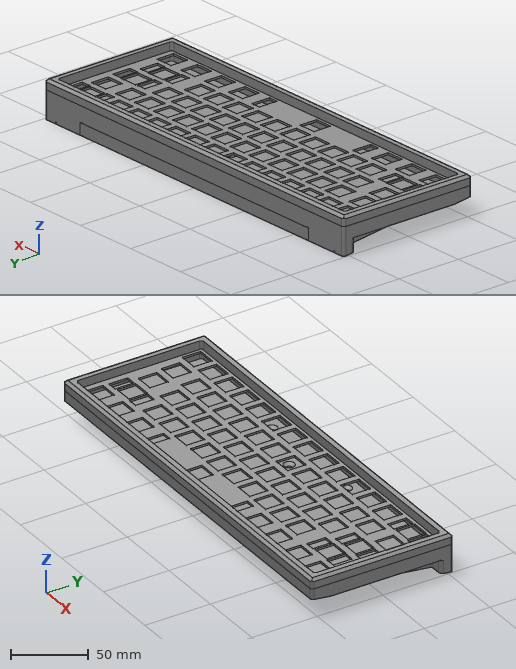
import cadquery as cq
import math

LENGTH = 298.7
DEPTH = 108.0
HEIGHT = 28.5
FRONT_EDGE_HEIGHT = 13.0
CORNER_RADIUS = 2.0
JOINT_HEIGHT = 21.0
TOP_CHAMFER = 2.0

RIM_WIDTH = 6.0
OPENING_LENGTH = LENGTH - 2 * RIM_WIDTH
OPENING_DEPTH = DEPTH - 2 * RIM_WIDTH
OPENING_RADIUS = 2.0
FLOOR_HEIGHT = 15.0

PLATE_GAP = 0.5
PLATE_BOTTOM = JOINT_HEIGHT
PLATE_THICKNESS = 1.5
LAYOUT_WIDTH = 286.0
LAYOUT_UNITS = 15
KEY_PITCH = LAYOUT_WIDTH / LAYOUT_UNITS
SWITCH_CUTOUT = 14.0
STABILIZER_WIDTH = 7.5
STABILIZER_DEPTH = 14.3
STABILIZER_SHIFT = 0.5
SHORT_STABILIZER_OFFSET = 12.2
SPACE_STABILIZER_OFFSET = 50.5
SPACE_STABILIZER_DEPTH = 15.0
SPACE_STABILIZER_SHIFT = -0.3

KEY_ROWS = [
    [1] * 13 + [2],
    [1.5] + [1] * 12 + [1.5],
    [1.75] + [1] * 11 + [2.25],
    [2.25] + [1] * 10 + [2.75],
    [1.25] * 3 + [6.25] + [1.25] * 4,
]
STABILIZED_WIDTH = 2
SPACE_KEY_WIDTH = 6.25

NOTCH_WIDTH = 10.5
NOTCH_TOP = 11.4
NOTCH_BACK = 44.5
LEG_CORNER_RADIUS = 2.5
NOTCH_CORNER_RADIUS = 1.5
NOTCH_TOP_RADIUS = 1.0

FOOT_DIAMETER = 8.0
FOOT_RECESS = 1.0
FOOT_X = 139.2
FOOT_FRONT_Y = -46.0
FOOT_BACK_Y = 49.3

WEIGHT_TOP = 9.0
WEIGHT_APEX_Y = 2.5
WEIGHT_KINK = (37.5, 27.2)
WEIGHT_BASE_HALF = 114.0

SCREW_PLACES = [(-44.8, 38.8), (44.8, 38.8), (0.0, 23.5)]
SCREW_HOLE_DIAMETER = 3.3
COUNTERSINK_DIAMETER = 8.0
COUNTERSINK_DEPTH = 2.0

BACK = DEPTH / 2
SLOPE = FRONT_EDGE_HEIGHT / DEPTH
SLOPE_ANGLE = math.degrees(math.atan(SLOPE))


def underside_height(y):
    return SLOPE * (BACK - y)


def rounded_block(length, depth, bottom, top, radius):
    block = cq.Workplane("XY").workplane(offset=bottom).rect(length, depth).extrude(top - bottom)
    return block.edges("|Z").fillet(radius)


def opening(bottom, top):
    return rounded_block(OPENING_LENGTH, OPENING_DEPTH, bottom, top, OPENING_RADIUS)


def below_underside():
    """Wedge of space under the sloping underside, wider than the case."""
    outline = [(-BACK, 0), (-BACK, FRONT_EDGE_HEIGHT), (BACK, 0)]
    return cq.Workplane("YZ").polyline(outline).close().extrude(LENGTH, both=True)


def finger_notch():
    """Notch under the left end, with a rounded leg behind it, running out at the sloping underside."""
    leg_side = -LENGTH / 2
    inner = leg_side + NOTCH_WIDTH
    beyond = leg_side - NOTCH_WIDTH
    plan = (
        cq.Workplane("XY")
        .moveTo(leg_side, NOTCH_BACK + LEG_CORNER_RADIUS)
        .radiusArc((leg_side + LEG_CORNER_RADIUS, NOTCH_BACK), -LEG_CORNER_RADIUS)
        .lineTo(inner - NOTCH_CORNER_RADIUS, NOTCH_BACK)
        .radiusArc((inner, NOTCH_BACK - NOTCH_CORNER_RADIUS), NOTCH_CORNER_RADIUS)
        .lineTo(inner, -BACK)
        .lineTo(beyond, -BACK)
        .lineTo(beyond, NOTCH_BACK + LEG_CORNER_RADIUS)
        .close()
    )
    return plan.extrude(NOTCH_TOP).faces(">Z").edges().fillet(NOTCH_TOP_RADIUS)


def foot_recess(x, y):
    """Disc centred on the sloping underside and square to it."""
    z = underside_height(y)
    disc = cq.Workplane("XY", origin=(x, y, z)).circle(FOOT_DIAMETER / 2).extrude(FOOT_RECESS, both=True)
    return disc.rotate((x, y, z), (x + 3, y, z), -SLOPE_ANGLE)


def screw_hole(x, y):
    shank = (
        cq.Workplane("XY", origin=(x, y, WEIGHT_TOP))
        .circle(SCREW_HOLE_DIAMETER / 2)
        .extrude(FLOOR_HEIGHT - WEIGHT_TOP)
    )
    cone = cq.Solid.makeCone(
        SCREW_HOLE_DIAMETER / 2,
        COUNTERSINK_DIAMETER / 2,
        COUNTERSINK_DEPTH,
        pnt=cq.Vector(x, y, FLOOR_HEIGHT - COUNTERSINK_DEPTH),
    )
    return shank.union(cq.Workplane(cone))


def make_weight():
    kink_x, kink_y = WEIGHT_KINK
    outline = [
        (0, WEIGHT_APEX_Y),
        (kink_x, kink_y),
        (WEIGHT_BASE_HALF, BACK),
        (-WEIGHT_BASE_HALF, BACK),
        (-kink_x, kink_y),
    ]
    slab = cq.Workplane("XY").polyline(outline).close().extrude(WEIGHT_TOP)
    return slab.cut(below_underside())


def make_lower_case(weight):
    case = rounded_block(LENGTH, DEPTH, 0, JOINT_HEIGHT, CORNER_RADIUS)
    case = case.cut(opening(FLOOR_HEIGHT, JOINT_HEIGHT))
    case = case.cut(below_underside())
    notch = finger_notch()
    case = case.cut(notch).cut(notch.mirror("YZ"))
    for x in (-FOOT_X, FOOT_X):
        for y in (FOOT_FRONT_Y, FOOT_BACK_Y):
            case = case.cut(foot_recess(x, y))
    case = case.cut(weight)
    for x, y in SCREW_PLACES:
        case = case.cut(screw_hole(x, y))
    return case


def make_bezel():
    base = cq.Workplane("XY").workplane(offset=JOINT_HEIGHT)
    block = base.rect(LENGTH, DEPTH).extrude(HEIGHT - JOINT_HEIGHT)
    chamfered = block.faces(">Z").edges().chamfer(TOP_CHAMFER)
    bezel = chamfered.intersect(rounded_block(LENGTH, DEPTH, JOINT_HEIGHT, HEIGHT, CORNER_RADIUS))
    return bezel.cut(opening(JOINT_HEIGHT, HEIGHT))


def plate_cutouts():
    """Centre x, centre y, width and depth of every switch and stabilizer cutout."""
    cutouts = []
    for row, widths in enumerate(KEY_ROWS):
        y = ((len(KEY_ROWS) - 1) / 2 - row) * KEY_PITCH
        left = -LAYOUT_WIDTH / 2
        for width in widths:
            x = left + width * KEY_PITCH / 2
            left += width * KEY_PITCH
            cutouts.append((x, y, SWITCH_CUTOUT, SWITCH_CUTOUT))
            if width < STABILIZED_WIDTH:
                continue
            is_space = width == SPACE_KEY_WIDTH
            offset = SPACE_STABILIZER_OFFSET if is_space else SHORT_STABILIZER_OFFSET
            depth = SPACE_STABILIZER_DEPTH if is_space else STABILIZER_DEPTH
            shift = SPACE_STABILIZER_SHIFT if is_space else STABILIZER_SHIFT
            for side in (-1, 1):
                cutouts.append((x + side * offset, y - shift, STABILIZER_WIDTH, depth))
    return cutouts


def make_plate():
    length = OPENING_LENGTH - 2 * PLATE_GAP
    depth = OPENING_DEPTH - 2 * PLATE_GAP
    base = cq.Workplane("XY").workplane(offset=PLATE_BOTTOM)
    plate = base.rect(length, depth).extrude(PLATE_THICKNESS)
    holes = [
        cq.Solid.makeBox(w, d, PLATE_THICKNESS, cq.Vector(x - w / 2, y - d / 2, PLATE_BOTTOM))
        for x, y, w, d in plate_cutouts()
    ]
    return plate.cut(cq.Workplane(cq.Compound.makeCompound(holes)))


weight = make_weight()
lower_case = make_lower_case(weight)
bezel = make_bezel()
plate = make_plate()

result = cq.Compound.makeCompound([lower_case.val(), weight.val(), bezel.val(), plate.val()])